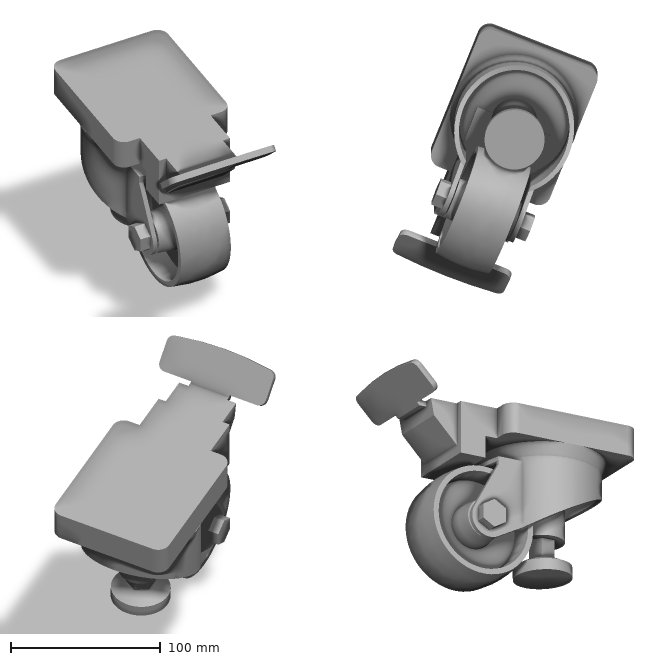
import cadquery as cq
import math


PLATE_LENGTH = 100.0
PLATE_WIDTH = 85.0
PLATE_HEIGHT = 21.4
PLATE_CORNER_RADIUS = 8.2
NECK_WIDTH = 53.3
NECK_END_X = 77.8
NECK_FOOT_LENGTH = 19.1
NECK_FOOT_Z = -36.9

LEVER_WIDTH = 42.6
LEVER_TOP_X = 97.7
LEVER_KNEE_X = 95.4
LEVER_KNEE_Z = -11.7
LEVER_HEEL_Z = -29.8
TONGUE_WIDTH = 28.9
TONGUE_THICKNESS = 3.8
PEDAL_TILT = 45.0
PEDAL_WIDTH = 79.7
PEDAL_LENGTH = 27.9
PEDAL_THICKNESS = 4.4
PEDAL_CROWN = 3.5
PEDAL_CORNER_RADIUS = 5.2
PEDAL_HEEL_X = 101.3
PEDAL_HEEL_Z = 1.0

SHEET = 3.1
FLARE_RADIUS = 42.8
HOUSING_RADIUS = 40.0
FLARE_BOTTOM_Z = -30.6
FORK_TOP_Z = FLARE_BOTTOM_Z - SHEET
HOUSING_FRONT_Z = -44.4
ARM_OUTER_Y = 26.3
ARM_INNER_Y = ARM_OUTER_Y - SHEET
ARM_BACK_X = 48.4
ARM_BACK_Z = -39.3
ARM_START_X = math.sqrt((HOUSING_RADIUS - SHEET) ** 2 - ARM_INNER_Y**2)
WEB_END_X = 51.9

AXLE_X = 55.9
AXLE_Z = -78.2
WHEEL_RADIUS = 40.0
WHEEL_EDGE_RADIUS = 38.3
WHEEL_HALF_WIDTH = 18.8
RIM_MOUTH_RADIUS = 34.5
RIM_FLOOR_RADIUS = 32.7
DISC_HALF_THICKNESS = 3.5
HUB_BASE_RADIUS = 15.8
HUB_END_RADIUS = 13.8
HUB_HALF_WIDTH = 22.3
AXLE_RADIUS = 7.0
BOLT_ACROSS_FLATS = 17.2
BOLT_END_Y = 33.8

ARM_END_RADIUS = 13.5
ARM_END_FORWARD_OFFSET = 0.7
ARM_END_DROP = 0.9
ARM_END_X = AXLE_X - ARM_END_FORWARD_OFFSET
ARM_END_Z = AXLE_Z - ARM_END_DROP

POST_RADIUS = 15.3
POST_BOTTOM_Z = -77.8
NUT_ACROSS_FLATS = 17.0
FOOT_RADIUS = 20.0
FOOT_TOP_RADIUS = 10.1
FOOT_TOP_Z = -90.7
FOOT_SHOULDER_Z = -95.7
FOOT_BOTTOM_Z = -103.5
FOOT_TILT = 3.0

HEX_DIAMETER_RATIO = 2 / math.sqrt(3)


def side_extrusion(profile, width):
    """Extrude an XZ profile symmetrically about the Y = 0 plane."""
    return profile.close().extrude(width / 2, both=True)


def cylinder(radius, top_z, bottom_z):
    """Upright cylinder on the swivel axis."""
    return cq.Workplane("XY").workplane(offset=bottom_z).circle(radius).extrude(top_z - bottom_z)


def tangent_point(x, z, side):
    """Point where a line from (x, z) touches the arm end circle; side is +1 or -1."""
    dx = x - ARM_END_X
    dz = z - ARM_END_Z
    angle = math.atan2(dz, dx) + side * math.acos(ARM_END_RADIUS / math.hypot(dx, dz))
    return (
        ARM_END_X + ARM_END_RADIUS * math.cos(angle),
        ARM_END_Z + ARM_END_RADIUS * math.sin(angle),
    )


def mounting_plate():
    plate = (
        cq.Workplane("XY")
        .rect(PLATE_LENGTH, PLATE_WIDTH)
        .extrude(-PLATE_HEIGHT)
        .edges("|Z")
        .fillet(PLATE_CORNER_RADIUS)
    )
    foot_start_x = NECK_END_X - NECK_FOOT_LENGTH
    neck_profile = cq.Workplane("XZ").polyline([
        (0, 0),
        (NECK_END_X, 0),
        (NECK_END_X, NECK_FOOT_Z),
        (foot_start_x, NECK_FOOT_Z),
        (foot_start_x, -PLATE_HEIGHT),
        (0, -PLATE_HEIGHT),
    ])
    return plate.union(side_extrusion(neck_profile, NECK_WIDTH))


def brake_lever():
    lever_profile = cq.Workplane("XZ").polyline([
        (NECK_END_X, 0),
        (LEVER_TOP_X, 0),
        (LEVER_KNEE_X, LEVER_KNEE_Z),
        (NECK_END_X, LEVER_HEEL_Z),
    ])
    tilt = math.radians(PEDAL_TILT)
    pedal_under_x = PEDAL_HEEL_X + PEDAL_THICKNESS * math.sin(tilt)
    pedal_under_z = PEDAL_HEEL_Z - PEDAL_THICKNESS * math.cos(tilt)
    bend_top_x = PEDAL_HEEL_X - PEDAL_HEEL_Z / math.tan(tilt)
    bend_under_x = pedal_under_x - (pedal_under_z + TONGUE_THICKNESS) / math.tan(tilt)
    tongue_profile = cq.Workplane("XZ").polyline([
        (NECK_END_X, 0),
        (bend_top_x, 0),
        (PEDAL_HEEL_X, PEDAL_HEEL_Z),
        (PEDAL_HEEL_X + PEDAL_THICKNESS, PEDAL_HEEL_Z),
        (pedal_under_x, pedal_under_z),
        (bend_under_x, -TONGUE_THICKNESS),
        (NECK_END_X, -TONGUE_THICKNESS),
    ])
    lever = side_extrusion(lever_profile, LEVER_WIDTH)
    return lever.union(side_extrusion(tongue_profile, TONGUE_WIDTH)).union(pedal())


def pedal():
    half_width = PEDAL_WIDTH / 2
    side_length = PEDAL_LENGTH - PEDAL_CROWN
    return (
        cq.Workplane("XY")
        .moveTo(0, -half_width)
        .lineTo(side_length, -half_width)
        .threePointArc((PEDAL_LENGTH, 0), (side_length, half_width))
        .lineTo(0, half_width)
        .close()
        .extrude(-PEDAL_THICKNESS)
        .edges("|Z")
        .fillet(PEDAL_CORNER_RADIUS)
        .rotate((0, 0, 0), (0, 1, 0), -PEDAL_TILT)
        .translate((PEDAL_HEEL_X, 0, PEDAL_HEEL_Z))
    )


def swivel_head():
    """Flared collar and the flat disc that closes the housing."""
    return (
        cq.Workplane("XZ")
        .polyline([
            (0, -PLATE_HEIGHT),
            (FLARE_RADIUS, -PLATE_HEIGHT),
            (HOUSING_RADIUS, FLARE_BOTTOM_Z),
            (HOUSING_RADIUS, FORK_TOP_Z),
            (0, FORK_TOP_Z),
        ])
        .close()
        .revolve(360, (0, 0, 0), (0, 1, 0))
    )


def fork():
    """Curved sheet wall running into two flat arms, with a web across the top."""
    arm_bottom_z = ARM_END_Z - ARM_END_RADIUS
    outline = side_extrusion(
        cq.Workplane("XZ")
        .moveTo(-HOUSING_RADIUS, FORK_TOP_Z)
        .lineTo(ARM_BACK_X, FORK_TOP_Z)
        .lineTo(ARM_BACK_X, ARM_BACK_Z)
        .lineTo(*tangent_point(ARM_BACK_X, ARM_BACK_Z, -1))
        .threePointArc((ARM_END_X, arm_bottom_z), tangent_point(-HOUSING_RADIUS, HOUSING_FRONT_Z, 1))
        .lineTo(-HOUSING_RADIUS, HOUSING_FRONT_Z),
        2 * HOUSING_RADIUS,
    )

    core = cylinder(HOUSING_RADIUS, FORK_TOP_Z, arm_bottom_z).intersect(outline)
    shell = cq.Workplane("XY")
    for skin in core.faces("%CYLINDER").vals():
        shell = shell.union(cq.Workplane(skin.thicken(-SHEET)))

    fork_height = FORK_TOP_Z - arm_bottom_z
    back_opening = cq.Workplane("XY").box(
        HOUSING_RADIUS, 2 * ARM_INNER_Y, fork_height, centered=(False, True, False)
    )
    shell = shell.cut(back_opening.translate((0, 0, arm_bottom_z)))

    arm_length = ARM_END_X + ARM_END_RADIUS - ARM_START_X
    for arm_y in (-ARM_OUTER_Y, ARM_INNER_Y):
        arm = cq.Workplane("XY").box(arm_length, SHEET, fork_height, centered=False)
        shell = shell.union(arm.translate((ARM_START_X, arm_y, arm_bottom_z)).intersect(outline))

    web = (
        cq.Workplane("XY")
        .workplane(offset=FORK_TOP_Z)
        .moveTo(0, -ARM_OUTER_Y)
        .lineTo(ARM_BACK_X, -ARM_OUTER_Y)
        .threePointArc((WEB_END_X, 0), (ARM_BACK_X, ARM_OUTER_Y))
        .lineTo(0, ARM_OUTER_Y)
        .close()
        .extrude(-SHEET)
    )
    return shell.union(web)


def wheel():
    """Crowned wheel, recessed on both sides around a tapered hub."""
    half_profile = [
        (WHEEL_EDGE_RADIUS, WHEEL_HALF_WIDTH),
        (RIM_MOUTH_RADIUS, WHEEL_HALF_WIDTH),
        (RIM_FLOOR_RADIUS, DISC_HALF_THICKNESS),
        (HUB_BASE_RADIUS, DISC_HALF_THICKNESS),
        (HUB_END_RADIUS, HUB_HALF_WIDTH),
        (0, HUB_HALF_WIDTH),
    ]
    mirrored_profile = [(radius, -y) for radius, y in reversed(half_profile)]
    return (
        cq.Workplane("XY")
        .polyline(half_profile + mirrored_profile)
        .threePointArc((WHEEL_RADIUS, 0), half_profile[0])
        .close()
        .revolve(360, (0, 0, 0), (0, 1, 0))
        .translate((AXLE_X, 0, AXLE_Z))
    )


def axle():
    """Axle through both arms with a hexagon head on each outer face."""
    axle_plane = cq.Workplane("XZ", origin=(AXLE_X, 0, AXLE_Z))
    rod = axle_plane.circle(AXLE_RADIUS).extrude(ARM_OUTER_Y, both=True)
    heads = (
        axle_plane.transformed(rotate=(0, 0, 90))
        .polygon(6, BOLT_ACROSS_FLATS * HEX_DIAMETER_RATIO)
        .extrude(BOLT_END_Y, both=True)
    )
    arm_gap = axle_plane.rect(2 * WHEEL_RADIUS, 2 * WHEEL_RADIUS).extrude(ARM_OUTER_Y, both=True)
    return rod.union(heads.cut(arm_gap))


def brake_post():
    """Post with a hexagon neck and a slightly tilted foot."""
    post = cylinder(POST_RADIUS, FORK_TOP_Z, POST_BOTTOM_Z)
    nut = (
        cq.Workplane("XY")
        .workplane(offset=FOOT_SHOULDER_Z)
        .polygon(6, NUT_ACROSS_FLATS * HEX_DIAMETER_RATIO)
        .extrude(POST_BOTTOM_Z - FOOT_SHOULDER_Z)
    )
    foot = (
        cq.Workplane("XZ")
        .polyline([
            (0, FOOT_TOP_Z),
            (FOOT_TOP_RADIUS, FOOT_TOP_Z),
            (FOOT_RADIUS, FOOT_SHOULDER_Z),
            (FOOT_RADIUS, FOOT_BOTTOM_Z),
            (0, FOOT_BOTTOM_Z),
        ])
        .close()
        .revolve(360, (0, 0, 0), (0, 1, 0))
        .rotate((0, 0, FOOT_TOP_Z), (0, 1, FOOT_TOP_Z), FOOT_TILT)
    )
    return post.union(nut).union(foot)


result = (
    mounting_plate()
    .union(brake_lever())
    .union(swivel_head())
    .union(fork())
    .union(brake_post())
    .union(wheel())
    .union(axle())
)